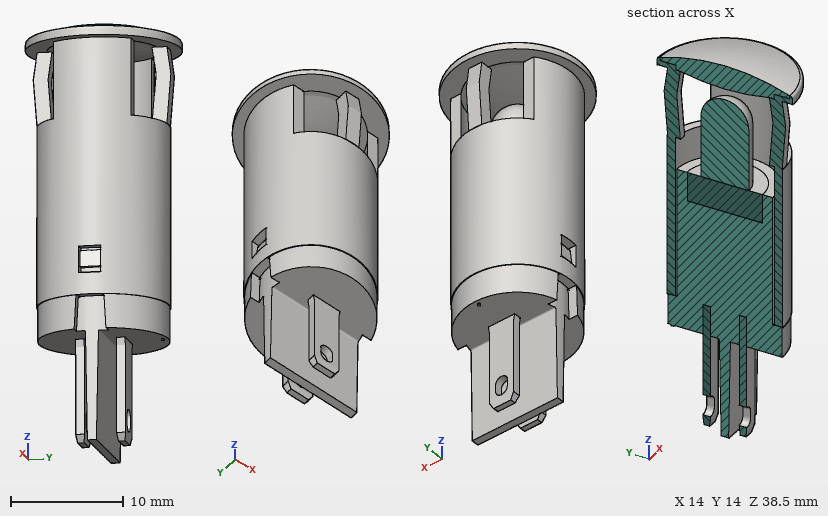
import cadquery as cq
import math


bezel_diameter = 14.0
bezel_height = 0.87
bezel_rim_radius = 0.3
lens_seat_z = 0.5
overall_height = 38.5

housing_diameter = 11.95
bore_diameter = 10.14
housing_bottom = -23.4
housing_radius = housing_diameter / 2
bore_radius = bore_diameter / 2

window_height = 7.0
pillar_width = 7.1
arm_width = 1.5
arm_thickness = 1.36
arm_end_y = 5.92
arm_bow = 0.36
arm_bow_z = -2.46
arm_inner_end_y = arm_end_y - arm_thickness

lens_top = 2.0
lens_bulge = 0.47
lens_bulge_radius = arm_inner_end_y
lens_radius = bezel_diameter / 2 - bezel_rim_radius

latch_window_width = 2.0
latch_window_top = -19.0
latch_window_inner_bottom = -21.2
latch_window_outer_bottom = -21.45
latch_cutter_overrun = 1.0

core_diameter = 9.9
core_top = -10.2
collar_diameter = 11.8
collar_height = 3.1
collar_bottom = housing_bottom - collar_height
core_radius = core_diameter / 2

notch_bottom_width = 2.9
notch_top_width = 2.55
notch_fillet = 0.2

blade_bottom = lens_top - overall_height
blade_root_thickness = 1.18
blade_tip_thickness = 0.82
blade_fillet = 0.16

latch_width = latch_window_width
latch_top = -19.26
latch_bottom = -20.77
latch_top_x = 5.24
latch_bottom_x = 5.43

pip_diameter = 0.3
pip_height = 0.12
pip_y = 5.4

lamp_diameter = 5.0
lamp_top = -1.5
holder_diameter = 7.8
holder_height = 3.0

terminal_width = 2.8
terminal_thickness = 0.8
terminal_y = 1.87
terminal_bottom = -35.85
terminal_root_width = 3.05
terminal_shoulder_height = 0.7
terminal_tip_height = 0.7
terminal_tip_width = 2.0
terminal_tip_thickness = 0.6
eye_width = 1.35
eye_length = 2.05
eye_z = -33.8


def cylinder(diameter, bottom, top):
    return cq.Workplane("XY").workplane(offset=bottom).circle(diameter / 2).extrude(top - bottom)


def box_between(x_size, y_size, bottom, top):
    return cq.Workplane("XY").workplane(offset=bottom).rect(x_size, y_size).extrude(top - bottom)


def sagitta_at_middle(chord_half, rise):
    """Height of a shallow arc, of the given rise, halfway between its crown and its end."""
    radius = (chord_half**2 + rise**2) / (2 * rise)
    return math.sqrt(radius**2 - (chord_half / 2) ** 2) - radius + rise


def make_lens():
    """Stepped disc that sits in the bezel, domed above and bulging below."""
    dome_mid_z = bezel_height + sagitta_at_middle(lens_radius, lens_top - bezel_height)
    bulge_mid_z = -sagitta_at_middle(lens_bulge_radius, lens_bulge)
    profile = (
        cq.Workplane("XZ")
        .moveTo(0, -lens_bulge)
        .threePointArc((lens_bulge_radius / 2, bulge_mid_z), (lens_bulge_radius, 0))
        .lineTo(bore_radius, 0)
        .lineTo(bore_radius, lens_seat_z)
        .lineTo(lens_radius, lens_seat_z)
        .lineTo(lens_radius, bezel_height)
        .threePointArc((lens_radius / 2, dome_mid_z), (0, lens_top))
        .close()
    )
    return profile.revolve(360, (0, 0, 0), (0, 1, 0))


def make_bezel():
    """Flange ring with a rounded rim and a stepped seat for the lens."""
    outer_radius = bezel_diameter / 2
    rim_inset = bezel_rim_radius * (1 - math.sqrt(0.5))
    rim_middle = (outer_radius - rim_inset, bezel_height - rim_inset)
    profile = (
        cq.Workplane("XZ")
        .moveTo(bore_radius, 0)
        .lineTo(outer_radius, 0)
        .lineTo(outer_radius, bezel_height - bezel_rim_radius)
        .threePointArc(rim_middle, (lens_radius, bezel_height))
        .lineTo(lens_radius, lens_seat_z)
        .lineTo(bore_radius, lens_seat_z)
        .close()
    )
    return profile.revolve(360, (0, 0, 0), (0, 1, 0))


def make_spring_arm(side):
    """Arm bowed outward between the window sill and the bezel; side is +1 or -1 along Y."""
    points = [
        (arm_end_y, 0),
        (arm_end_y + arm_bow, arm_bow_z),
        (arm_end_y, -window_height),
        (arm_inner_end_y, -window_height),
        (arm_inner_end_y + arm_bow, arm_bow_z),
        (arm_inner_end_y, 0),
    ]
    outline = [(side * y, z) for y, z in points]
    return cq.Workplane("YZ").polyline(outline).close().extrude(arm_width / 2, both=True)


def make_latch_window(side):
    """Cutter for the hole in the tube wall, its sill sloping down outward."""
    sill_slope = (latch_window_outer_bottom - latch_window_inner_bottom) / (housing_radius - bore_radius)
    start_x = bore_radius - latch_cutter_overrun
    end_x = housing_radius + latch_cutter_overrun
    points = [
        (start_x, latch_window_top),
        (end_x, latch_window_top),
        (end_x, latch_window_outer_bottom + sill_slope * latch_cutter_overrun),
        (start_x, latch_window_inner_bottom - sill_slope * latch_cutter_overrun),
    ]
    outline = [(side * x, z) for x, z in points]
    return cq.Workplane("XZ").polyline(outline).close().extrude(latch_window_width / 2, both=True)


def make_housing():
    tube = cylinder(housing_diameter, housing_bottom, 0).cut(cylinder(bore_diameter, housing_bottom, 0))
    tall_part = cylinder(housing_diameter, -window_height, 0)
    pillars = box_between(housing_diameter, pillar_width, -window_height, 0)
    body = tube.cut(tall_part.cut(pillars)).union(make_bezel())
    for side in (-1, 1):
        body = body.union(make_spring_arm(side))
        body = body.cut(make_latch_window(side))
    return body


def make_collar_notches():
    """Cutter for the tapered slots that leave the core bare on both X sides of the collar."""
    notch = (
        cq.Workplane("YZ")
        .moveTo(-notch_bottom_width / 2, collar_bottom)
        .lineTo(-notch_top_width / 2, housing_bottom)
        .lineTo(notch_top_width / 2, housing_bottom)
        .lineTo(notch_bottom_width / 2, collar_bottom)
        .close()
        .extrude(collar_diameter, both=True)
        .faces(">Z")
        .edges("|X")
        .fillet(notch_fillet)
    )
    return notch.cut(cylinder(core_diameter, collar_bottom, housing_bottom))


def make_blade():
    """Tapered plate between the terminals, with rounded ends and small fillets at the collar."""
    root = blade_root_thickness / 2
    tip = blade_tip_thickness / 2
    fillet_offset = blade_fillet * (1 - math.sqrt(0.5))
    fillet_end_z = collar_bottom - blade_fillet
    half_outline = (
        cq.Workplane("YZ")
        .moveTo(0, collar_bottom)
        .lineTo(root + blade_fillet, collar_bottom)
        .threePointArc((root + fillet_offset, collar_bottom - fillet_offset), (root, fillet_end_z))
        .lineTo(tip, blade_bottom)
        .lineTo(0, blade_bottom)
        .close()
    )
    half_blade = half_outline.extrude(core_radius, both=True)
    rounded_ends = cylinder(core_diameter, blade_bottom, collar_bottom)
    return half_blade.union(half_blade.mirror("XZ")).intersect(rounded_ends)


def make_latch(side):
    """Ramped tab that snaps into a latch window."""
    root_x = core_radius / 2
    points = [
        (root_x, latch_top),
        (latch_top_x, latch_top),
        (latch_bottom_x, latch_bottom),
        (root_x, latch_bottom),
    ]
    outline = [(side * x, z) for x, z in points]
    return cq.Workplane("XZ").polyline(outline).close().extrude(latch_width / 2, both=True)


def make_base(inserts):
    """Core and collar with the blade; the inserts are the bodies seated in it."""
    collar = cylinder(collar_diameter, collar_bottom, housing_bottom).cut(make_collar_notches())
    body = cylinder(core_diameter, collar_bottom, core_top).union(collar).union(make_blade())
    for side in (-1, 1):
        body = body.union(make_latch(side))
    pip = cylinder(pip_diameter, collar_bottom - pip_height, collar_bottom).translate((0, pip_y, 0))
    body = body.union(pip)
    for insert in inserts:
        body = body.cut(insert)
    return body


def make_holder():
    return cylinder(holder_diameter, core_top - holder_height, core_top)


def make_lamp():
    """Round lamp with a hemispherical top, standing on the holder."""
    lamp_radius = lamp_diameter / 2
    shoulder_z = lamp_top - lamp_radius
    stem = cylinder(lamp_diameter, core_top, shoulder_z)
    return stem.union(cq.Workplane("XY").sphere(lamp_radius).translate((0, 0, shoulder_z)))


def make_terminal(side):
    """Flat tab with an eye, flared shoulders and a tapered tip, rooted in the collar."""
    shoulder_bottom = collar_bottom - terminal_shoulder_height
    tip_top = terminal_bottom + terminal_tip_height
    root = box_between(terminal_root_width, terminal_thickness, collar_bottom, housing_bottom)
    shoulder = (
        cq.Workplane("XY")
        .workplane(offset=shoulder_bottom)
        .rect(terminal_width, terminal_thickness)
        .workplane(offset=terminal_shoulder_height)
        .rect(terminal_root_width, terminal_thickness)
        .loft(ruled=True)
    )
    shank = box_between(terminal_width, terminal_thickness, tip_top, shoulder_bottom)
    tip = (
        cq.Workplane("XY")
        .workplane(offset=terminal_bottom)
        .rect(terminal_tip_width, terminal_tip_thickness)
        .workplane(offset=terminal_tip_height)
        .rect(terminal_width, terminal_thickness)
        .loft(ruled=True)
    )
    eye = (
        cq.Workplane("XZ")
        .center(0, eye_z)
        .slot2D(eye_length, eye_width, 90)
        .extrude(terminal_thickness, both=True)
    )
    tab = root.union(shoulder).union(shank).union(tip).cut(eye)
    return tab.translate((0, side * terminal_y, 0))


lens = make_lens()
housing = make_housing()
holder = make_holder()
lamp = make_lamp()
terminals = [make_terminal(side) for side in (-1, 1)]
base = make_base([holder, *terminals])

result = cq.Compound.makeCompound(
    [
        lens.solids().val(),
        housing.solids().val(),
        holder.solids().val(),
        lamp.solids().val(),
        *[terminal.solids().val() for terminal in terminals],
        base.solids().val(),
    ]
)